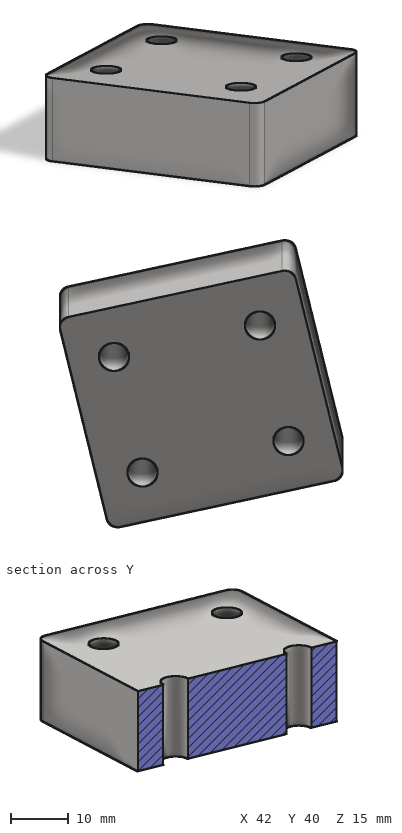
import cadquery as cq

length = 42.0
width = 40.0
height = 15.0
corner_radius = 2.0

hole_diameter = 5.2
hole_spacing_x = 26.0
hole_spacing_y = 22.0


def make_block():
    """Rectangular block with rounded vertical edges, standing on Z = 0."""
    block = cq.Workplane("XY").box(length, width, height, centered=(True, True, False))
    return block.edges("|Z").fillet(corner_radius)


def drill_holes(block):
    """Four plain holes through the full height."""
    return (
        block.faces(">Z")
        .workplane(origin=(0, 0, height))
        .rect(hole_spacing_x, hole_spacing_y, forConstruction=True)
        .vertices()
        .hole(hole_diameter)
    )


result = drill_holes(make_block())